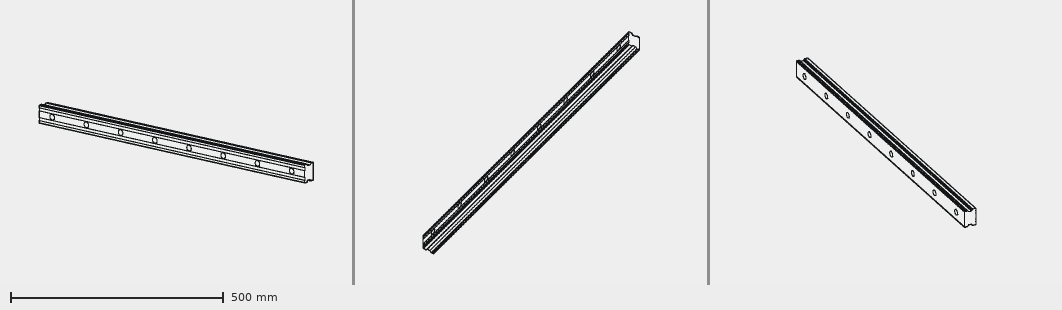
import cadquery as cq

length = 815
height = 32.0
width = 45.0
half_length = length / 2
half_height = height / 2
half_width = width / 2

corner_chamfer = 2.0
waist_half_width = 18.0
waist_top = 4.0
head_bottom = 8.0
base_wall = -5.0
waist_chamfer = 2.0
shoulder_chamfer = 2.0
groove_center = 11.5
groove_radius = 2.0

relief_inner = 8.0
relief_outer = 15.5
relief_depth = 0.4

hole_count = 8
hole_end_distance = 40.0
hole_pitch = (length - 2 * hole_end_distance) / (hole_count - 1)
hole_diameter = 14.0


def make_rail():
    """Extrude one half of the symmetric section and mirror it."""
    half_section = (
        cq.Workplane("YZ", origin=(-half_length, 0, 0))
        .moveTo(-half_height, 0)
        .lineTo(-half_height, half_width - corner_chamfer)
        .lineTo(-half_height + corner_chamfer, half_width)
        .lineTo(base_wall - shoulder_chamfer, half_width)
        .lineTo(base_wall, half_width - shoulder_chamfer)
        .lineTo(base_wall, waist_half_width + waist_chamfer)
        .lineTo(base_wall + waist_chamfer, waist_half_width)
        .lineTo(waist_top, waist_half_width)
        .lineTo(head_bottom, half_width)
        .lineTo(groove_center - groove_radius, half_width)
        .threePointArc(
            (groove_center, half_width - groove_radius),
            (groove_center + groove_radius, half_width),
        )
        .lineTo(half_height - corner_chamfer, half_width)
        .lineTo(half_height, half_width - corner_chamfer)
        .lineTo(half_height, 0)
        .close()
    )
    half_rail = half_section.extrude(length)
    return half_rail.union(half_rail.mirror("XY"))


def make_base_reliefs():
    """Two full-length grooves, one on each side of the hole row."""
    relief_center = (relief_inner + relief_outer) / 2
    return (
        cq.Workplane("XZ", origin=(0, -half_height, 0))
        .pushPoints([(0, -relief_center), (0, relief_center)])
        .rect(length, relief_outer - relief_inner)
        .extrude(-relief_depth)
    )


def make_holes():
    """Row of through holes along the rail, drilled across its height."""
    return (
        cq.Workplane("XZ", origin=(0, -half_height, 0))
        .rarray(hole_pitch, 8, hole_count, 1)
        .circle(hole_diameter / 2)
        .extrude(-height)
    )


result = make_rail().cut(make_base_reliefs()).cut(make_holes())